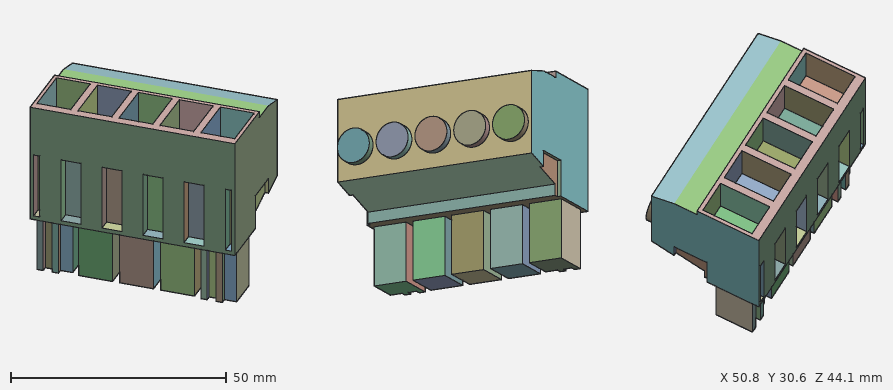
import cadquery as cq


POLE_COUNT = 5
POLE_PITCH = 10.15
LENGTH = POLE_COUNT * POLE_PITCH
CELL_WIDTH = 8.4
SIDE_WALL = (POLE_PITCH - CELL_WIDTH) / 2
POLE_CENTERS = [(index + 0.5) * POLE_PITCH for index in range(POLE_COUNT)]

SHELL_HEIGHT = 29.7
SHELL_DEPTH = 28.65
BLOCK_DEPTH = 16.45
SHELF_DROP = 1.6
SHELF_END_Y = 22.45
BACK_TOP_DROP = 3.1
BACK_BOTTOM_Z = 6.5
FOOT_DEPTH = 15.05
FOOT_TOP_Z = 2.75

END_RECESS_FRONT_Y = 13.85
END_RECESS_BACK_Y = 22.6
END_RECESS_TOP_Z = 8.75
END_RECESS_DEPTH = SIDE_WALL

FUNNEL_FRONT_WALL = 2.3
FUNNEL_LENGTH = 13.1
FUNNEL_DEPTH = 10.15

SLOT_WIDTH = 4.95
END_SLOT_WIDTH = 1.45
SLOT_BOTTOM_Z = 1.0
SLOT_TOP_Z = 17.15
SLOT_DEPTH = 3.05

SLEEVE_HEIGHT = 14.4
SLEEVE_BACK_Y = 11.95
END_SLEEVE_FRONT_Y = 2.2
INNER_SLEEVE_FRONT_Y = 2.8
KEY_RIB_WIDTH = 1.6
KEY_RIB_SPACING = 3.75
KEY_RIB_DEPTH = 1.4

SCREW_DIAMETER = CELL_WIDTH
SCREW_HEAD_HEIGHT = 1.95
SCREW_Z = 14.2


def block(x_start, x_end, y_start, y_end, z_start, z_end):
    """Box given by its limits along each axis."""
    return cq.Workplane("XY").box(
        x_end - x_start, y_end - y_start, z_end - z_start, centered=False
    ).translate((x_start, y_start, z_start))


def make_shell():
    """Constant cross-section, extruded along the row of poles."""
    outline = [
        (0, 0),
        (0, SHELL_HEIGHT),
        (BLOCK_DEPTH, SHELL_HEIGHT),
        (BLOCK_DEPTH, SHELL_HEIGHT - SHELF_DROP),
        (SHELF_END_Y, SHELL_HEIGHT - SHELF_DROP),
        (SHELL_DEPTH, SHELL_HEIGHT - BACK_TOP_DROP),
        (SHELL_DEPTH, BACK_BOTTOM_Z),
        (FOOT_DEPTH, FOOT_TOP_Z),
        (FOOT_DEPTH, 0),
    ]
    return cq.Workplane("YZ").polyline(outline).close().extrude(LENGTH)


def cut_end_recesses(body):
    for x_start in (0, LENGTH - END_RECESS_DEPTH):
        body = body.cut(block(
            x_start, x_start + END_RECESS_DEPTH,
            END_RECESS_FRONT_Y, END_RECESS_BACK_Y,
            0, END_RECESS_TOP_Z,
        ))
    return body


def cut_funnels(body):
    for center in POLE_CENTERS:
        body = body.cut(block(
            center - CELL_WIDTH / 2, center + CELL_WIDTH / 2,
            FUNNEL_FRONT_WALL, FUNNEL_FRONT_WALL + FUNNEL_LENGTH,
            SHELL_HEIGHT - FUNNEL_DEPTH, SHELL_HEIGHT,
        ))
    return body


def cut_front_slots(body):
    """Wide slots between neighbouring poles and a narrow one at each end."""
    spans = [
        (SIDE_WALL, SIDE_WALL + END_SLOT_WIDTH),
        (LENGTH - SIDE_WALL - END_SLOT_WIDTH, LENGTH - SIDE_WALL),
    ]
    for index in range(1, POLE_COUNT):
        boundary = index * POLE_PITCH
        spans.append((boundary - SLOT_WIDTH / 2, boundary + SLOT_WIDTH / 2))
    for x_start, x_end in spans:
        body = body.cut(block(x_start, x_end, 0, SLOT_DEPTH, SLOT_BOTTOM_Z, SLOT_TOP_Z))
    return body


def make_inner_sleeve(center):
    """Plain rectangular sleeve."""
    return block(
        center - CELL_WIDTH / 2, center + CELL_WIDTH / 2,
        INNER_SLEEVE_FRONT_Y, SLEEVE_BACK_Y,
        -SLEEVE_HEIGHT, 0,
    )


def make_end_sleeve(center):
    """Sleeve with two coding ribs standing forward, the first flush with its left side."""
    left = center - CELL_WIDTH / 2
    rib_root_y = END_SLEEVE_FRONT_Y + KEY_RIB_DEPTH
    sleeve = block(left, left + CELL_WIDTH, rib_root_y, SLEEVE_BACK_Y, -SLEEVE_HEIGHT, 0)
    for rib_left in (left, left + KEY_RIB_SPACING):
        sleeve = sleeve.union(block(
            rib_left, rib_left + KEY_RIB_WIDTH,
            END_SLEEVE_FRONT_Y, rib_root_y,
            -SLEEVE_HEIGHT, 0,
        ))
    return sleeve


def make_housing():
    body = make_shell()
    body = cut_end_recesses(body)
    body = cut_funnels(body)
    body = cut_front_slots(body)
    for center in POLE_CENTERS[1:-1]:
        body = body.union(make_inner_sleeve(center))
    for center in (POLE_CENTERS[0], POLE_CENTERS[-1]):
        body = body.union(make_end_sleeve(center))
    return body


def make_screw(center):
    """Round screw head seated on the back face of the shell."""
    seat = cq.Plane(origin=(center, SHELL_DEPTH, SCREW_Z), xDir=(1, 0, 0), normal=(0, 1, 0))
    return cq.Workplane(seat).circle(SCREW_DIAMETER / 2).extrude(SCREW_HEAD_HEIGHT)


housing = make_housing()
screws = [make_screw(center) for center in POLE_CENTERS]

result = cq.Compound.makeCompound([housing.val(), *[screw.val() for screw in screws]])